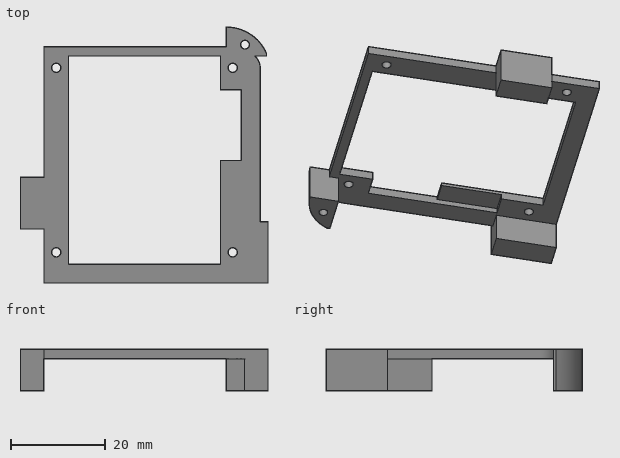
import cadquery as cq
import math

total_height = 8.85
plate_thickness = 2.05
ledge_thickness = 0.8

frame_width = 45.75
frame_depth = 50.0
corner_radius = 3.5
corner_center_y = 45.4
window_left = 5.2
window_right = 37.3
window_bottom = 4.0
window_top = 48.0

notch_right = 41.65
notch_bottom = 25.95
notch_top = 40.85

block_width = 5.0
block_bottom = 11.4
block_length = 11.0

foot_left = 42.4
foot_right = 47.4
foot_length = 13.0

fan_left = 38.5
fan_right = 47.05
fan_bottom = window_top
fan_top = 54.15
fan_radius = 9.3
fan_tip_height = 0.6

frame_hole_diameter = 1.9
frame_hole_left = 2.6
frame_hole_bottom = 6.5
frame_hole_spacing_x = 37.3
frame_hole_spacing_y = 39.0
fan_hole_diameter = 1.8
fan_hole_center = (42.5, 50.4)


def box(left, right, bottom, top, z_low, z_high):
    """Box given by its limits along X, Y and Z."""
    size = (right - left, top - bottom, z_high - z_low)
    return cq.Workplane("XY").box(*size, centered=False).translate((left, bottom, z_low))


def frame_plate():
    """Flat frame outline whose upper right corner curves in to the fan foot."""
    corner_center_x = frame_width - corner_radius
    end_rise = window_top - corner_center_y
    end_angle = math.asin(end_rise / corner_radius)
    arc_end = (corner_center_x + corner_radius * math.cos(end_angle), window_top)
    arc_middle = (
        corner_center_x + corner_radius * math.cos(end_angle / 2),
        corner_center_y + corner_radius * math.sin(end_angle / 2),
    )
    return (
        cq.Workplane("XY")
        .moveTo(0, 0)
        .lineTo(frame_width, 0)
        .lineTo(frame_width, corner_center_y)
        .threePointArc(arc_middle, arc_end)
        .lineTo(fan_left, window_top)
        .lineTo(fan_left, frame_depth)
        .lineTo(0, frame_depth)
        .close()
        .extrude(-plate_thickness)
    )


def fan_foot():
    """Full-height foot with a straight left side and a round outer side."""
    tip = (fan_right, fan_bottom + fan_tip_height)
    return (
        cq.Workplane("XY")
        .moveTo(fan_left, fan_bottom)
        .lineTo(fan_right, fan_bottom)
        .lineTo(*tip)
        .radiusArc((fan_left, fan_top), -fan_radius)
        .close()
        .extrude(-total_height)
    )


def frame_window():
    """Main window together with its side notch."""
    window = box(window_left, window_right, window_bottom, window_top, -plate_thickness, 0)
    notch = box(window_right, notch_right, notch_bottom, notch_top, -plate_thickness, 0)
    return window.union(notch)


def ledge_pocket():
    """Underside pocket that thins the ledge between the notch and the lower right foot."""
    return box(window_right, notch_right, foot_length, notch_bottom, -plate_thickness, -ledge_thickness)


def through_holes():
    """Four frame holes and the hole of the fan foot."""
    frame_hole_centers = [
        (frame_hole_left + i * frame_hole_spacing_x, frame_hole_bottom + j * frame_hole_spacing_y)
        for i in range(2)
        for j in range(2)
    ]
    frame_holes = (
        cq.Workplane("XY")
        .pushPoints(frame_hole_centers)
        .circle(frame_hole_diameter / 2)
        .extrude(-plate_thickness)
    )
    fan_hole = (
        cq.Workplane("XY")
        .center(*fan_hole_center)
        .circle(fan_hole_diameter / 2)
        .extrude(-total_height)
    )
    return frame_holes.union(fan_hole)


left_block = box(-block_width, 0, block_bottom, block_bottom + block_length, -total_height, 0)
corner_foot = box(foot_left, foot_right, 0, foot_length, -total_height, 0)

result = (
    frame_plate()
    .cut(frame_window())
    .cut(ledge_pocket())
    .union(left_block)
    .union(corner_foot)
    .union(fan_foot())
    .cut(through_holes())
)